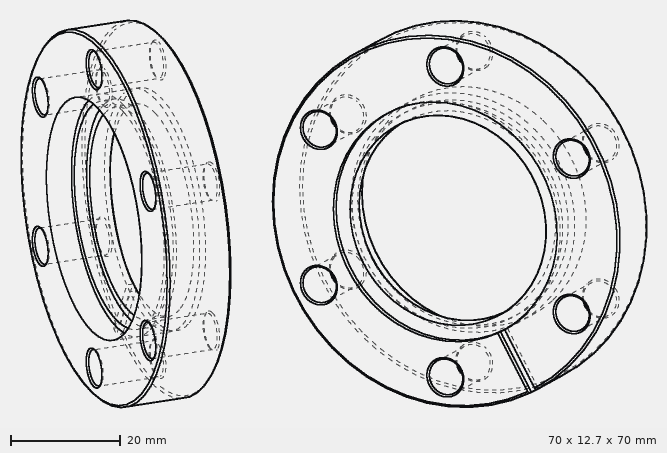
import cadquery as cq
import math

outer_diameter = 70.0
thickness = 12.7
rim_chamfer = 0.4
seat_radius = 22.55

bolt_count = 6
bolt_circle_radius = 29.4
bolt_radius = 3.35
bolt_chamfer = 0.35

insert_front = 5.0
shoulder_depth = 7.4
back_recess = 1.2
insert_back = thickness - back_recess
socket_radius = 21.2
bore_radius = 19.75

groove_width = 1.6
groove_angle = 240.0


def cylinder(radius, start, end):
    """Cylinder along +Y between two Y positions."""
    return cq.Workplane("XZ", origin=(0, start, 0)).circle(radius).extrude(start - end)


def bolt_cutter():
    """Bolt hole on the Y axis, flared by a chamfer at both faces."""
    mouth_radius = bolt_radius + bolt_chamfer
    profile = [
        (0, 0),
        (mouth_radius, 0),
        (bolt_radius, bolt_chamfer),
        (bolt_radius, thickness - bolt_chamfer),
        (mouth_radius, thickness),
        (0, thickness),
    ]
    return cq.Workplane("XY").polyline(profile).close().revolve(360, (0, 0), (0, 1))


def groove_cutter():
    """Radial groove from the seat out through the rim, open at the back face."""
    groove_length = outer_diameter / 2
    groove = cq.Workplane("XY").box(
        groove_length, back_recess, groove_width, centered=(False, False, True)
    )
    return groove.translate((0, insert_back, 0)).rotate((0, 0, 0), (0, 1, 0), -groove_angle)


def make_ring():
    ring = cylinder(outer_diameter / 2, 0, thickness).edges().chamfer(rim_chamfer)
    ring = ring.cut(cylinder(seat_radius, 0, thickness))
    for index in range(bolt_count):
        angle = math.radians(90 + index * 360 / bolt_count)
        x = bolt_circle_radius * math.cos(angle)
        z = bolt_circle_radius * math.sin(angle)
        ring = ring.cut(bolt_cutter().translate((x, 0, z)))
    return ring.cut(groove_cutter())


def make_insert():
    """Bored insert with a wider socket in front, set back from both ring faces."""
    insert = cylinder(seat_radius, insert_front, insert_back)
    insert = insert.cut(cylinder(socket_radius, insert_front, shoulder_depth))
    return insert.cut(cylinder(bore_radius, shoulder_depth, insert_back))


ring = make_ring()
insert = make_insert()

result = cq.Compound.makeCompound([ring.val(), insert.val()])